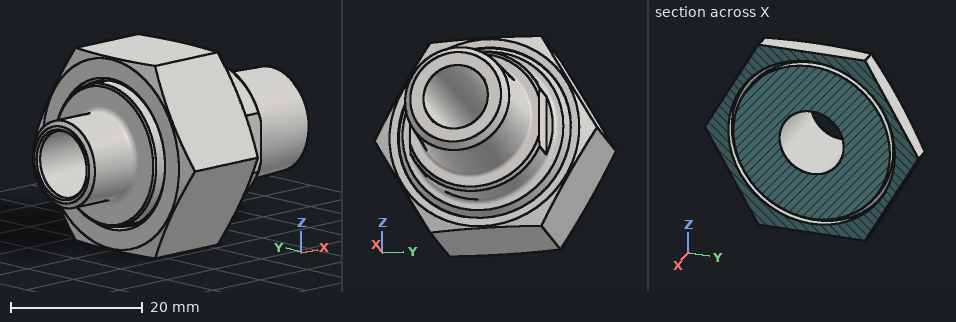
import cadquery as cq
import math

TOTAL_LENGTH = 45.5

NUT_START = 10.45
NUT_END = 25.53
NUT_ACROSS_FLATS = 30.0
NUT_FACE_RADIUS = 14.75
NUT_CHAMFER_DEPTH = 0.85
NUT_OPENING_RADIUS = 22.5 / 2
NUT_OPENING_CHAMFER = 0.45
THREAD_RADIUS = 26.85 / 2

PIPE_RADIUS = 13.5 / 2
PIPE_CHAMFER_LENGTH = 0.45
PIPE_RIM_RADIUS = 5.95
TAILPIECE_BORE_RADIUS = 10.3 / 2
BORE_RIM_RADIUS = 5.4
BORE_RIM_DEPTH = 0.45
NECK_START = 8.95
NECK_RADIUS = 22.0 / 2
NECK_CHAMFER = 0.3
NECK_FILLET = 1.0
SHOULDER_START = 12.75
SHOULDER_RADIUS = 25.4 / 2

JOINT_X = 15.45
BODY_BORE_RADIUS = 10.0 / 2
CONE_START = 25.02
CONE_END = 26.53
CONE_END_RADIUS = 25.0 / 2
COLLAR_START = 27.3
COLLAR_END = 32.5
COLLAR_RADIUS = 11.0
COLLAR_CHAMFER = 0.55
FLAT_HALF_SPACING = 10.0
TAPER_FILLET = 0.6
TAPER_START_RADIUS = 8.55
TAPER_END_RADIUS = 8.1
TAPER_CHAMFER = 1.05


def bored_tube(outline, start, end, bore_radius):
    """Close an outer outline down to the bore and revolve it about X."""
    profile = outline.lineTo(end, bore_radius).lineTo(start, bore_radius).close()
    return profile.revolve(360, (0, 0, 0), (1, 0, 0))


def hollow_fillet(outline, end, center, middle_angle):
    """Add a concave quarter arc to the outline, about the given center."""
    radius = math.dist(end, center)
    angle = math.radians(middle_angle)
    middle = (center[0] + radius * math.cos(angle), center[1] + radius * math.sin(angle))
    return outline.threePointArc(middle, end)


def make_tailpiece():
    outline = (
        cq.Workplane("XY")
        .moveTo(BORE_RIM_DEPTH, TAILPIECE_BORE_RADIUS)
        .lineTo(0, BORE_RIM_RADIUS)
        .lineTo(0, PIPE_RIM_RADIUS)
        .lineTo(PIPE_CHAMFER_LENGTH, PIPE_RADIUS)
        .lineTo(NECK_START - NECK_FILLET, PIPE_RADIUS)
    )
    fillet_top = PIPE_RADIUS + NECK_FILLET
    outline = hollow_fillet(outline, (NECK_START, fillet_top), (NECK_START - NECK_FILLET, fillet_top), -45)
    outline = (
        outline.lineTo(NECK_START, NECK_RADIUS - NECK_CHAMFER)
        .lineTo(NECK_START + NECK_CHAMFER, NECK_RADIUS)
        .lineTo(SHOULDER_START, NECK_RADIUS)
        .lineTo(SHOULDER_START, SHOULDER_RADIUS)
        .lineTo(JOINT_X, SHOULDER_RADIUS)
    )
    return bored_tube(outline, BORE_RIM_DEPTH, JOINT_X, TAILPIECE_BORE_RADIUS)


def make_nut():
    corner_radius = NUT_ACROSS_FLATS / math.sqrt(3)
    prism = (
        cq.Workplane("YZ", origin=(NUT_START, 0, 0))
        .polygon(6, 2 * corner_radius)
        .extrude(NUT_END - NUT_START)
    )
    blank = (
        cq.Workplane("XY")
        .moveTo(NUT_START, 0)
        .lineTo(NUT_START, NUT_FACE_RADIUS)
        .lineTo(NUT_START + NUT_CHAMFER_DEPTH, corner_radius)
        .lineTo(NUT_END - NUT_CHAMFER_DEPTH, corner_radius)
        .lineTo(NUT_END, NUT_FACE_RADIUS)
        .lineTo(NUT_END, 0)
        .close()
        .revolve(360, (0, 0, 0), (1, 0, 0))
    )
    cavity = (
        cq.Workplane("XY")
        .moveTo(NUT_START, 0)
        .lineTo(NUT_START, NUT_OPENING_RADIUS + NUT_OPENING_CHAMFER)
        .lineTo(NUT_START + NUT_OPENING_CHAMFER, NUT_OPENING_RADIUS)
        .lineTo(SHOULDER_START, NUT_OPENING_RADIUS)
        .lineTo(SHOULDER_START, THREAD_RADIUS)
        .lineTo(NUT_END, THREAD_RADIUS)
        .lineTo(NUT_END, 0)
        .close()
        .revolve(360, (0, 0, 0), (1, 0, 0))
    )
    return prism.intersect(blank).cut(cavity)


def make_wrench_flats():
    """Two blocks that trim the collar flat on its +Y and -Y sides."""
    block_depth = COLLAR_RADIUS - FLAT_HALF_SPACING
    offset = FLAT_HALF_SPACING + block_depth / 2
    length = COLLAR_END - COLLAR_START
    return (
        cq.Workplane("XY", origin=((COLLAR_START + COLLAR_END) / 2, 0, 0))
        .pushPoints([(0, offset), (0, -offset)])
        .box(length, block_depth, 2 * COLLAR_RADIUS)
    )


def make_threaded_body():
    collar_fillet = COLLAR_START - CONE_END
    fillet_top = COLLAR_RADIUS + collar_fillet
    outline = (
        cq.Workplane("XY")
        .moveTo(JOINT_X, BODY_BORE_RADIUS)
        .lineTo(JOINT_X, THREAD_RADIUS)
        .lineTo(CONE_START, THREAD_RADIUS)
        .lineTo(CONE_END, CONE_END_RADIUS)
        .lineTo(CONE_END, fillet_top)
    )
    outline = hollow_fillet(outline, (COLLAR_START, COLLAR_RADIUS), (COLLAR_START, fillet_top), -135)
    taper_fillet_top = TAPER_START_RADIUS + TAPER_FILLET
    taper_start = COLLAR_END + TAPER_FILLET
    outline = (
        outline.lineTo(COLLAR_END - COLLAR_CHAMFER, COLLAR_RADIUS)
        .lineTo(COLLAR_END, COLLAR_RADIUS - COLLAR_CHAMFER)
        .lineTo(COLLAR_END, taper_fillet_top)
    )
    outline = hollow_fillet(outline, (taper_start, TAPER_START_RADIUS), (taper_start, taper_fillet_top), -135)
    outline = (
        outline.lineTo(TOTAL_LENGTH - TAPER_CHAMFER, TAPER_END_RADIUS)
        .lineTo(TOTAL_LENGTH, TAPER_END_RADIUS - TAPER_CHAMFER)
    )
    body = bored_tube(outline, JOINT_X, TOTAL_LENGTH, BODY_BORE_RADIUS)
    return body.cut(make_wrench_flats())


tailpiece = make_tailpiece()
nut = make_nut()
threaded_body = make_threaded_body()

result = cq.Compound.makeCompound([tailpiece.val(), nut.val(), threaded_body.val()])